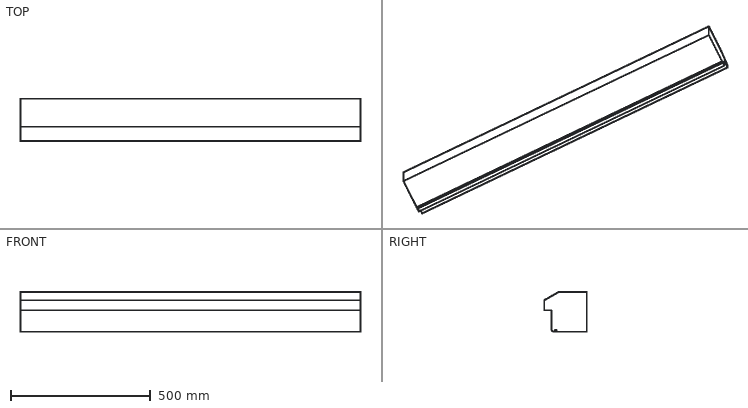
import cadquery as cq

length = 1219.0
depth = 152.0
height = 143.0

slope_run = 51.0
slope_drop = 29.0
nose_height = 37.0
nose_overhang = 25.0

edge_radius = 10.0
groove_width = 5.0
groove_depth = 7.0
groove_setback = 16.0

front = -depth / 2
back = depth / 2
bottom = -height / 2
top = height / 2

lower_front = front + nose_overhang
nose_top = top - slope_drop
nose_bottom = nose_top - nose_height
groove_front = lower_front + groove_setback - groove_width / 2
groove_back = groove_front + groove_width
groove_top = bottom + groove_depth

profile = (
    cq.Workplane("YZ")
    .moveTo(back, bottom)
    .lineTo(back, top)
    .lineTo(front + slope_run, top)
    .lineTo(front, nose_top)
    .lineTo(front, nose_bottom)
    .lineTo(lower_front, nose_bottom)
    .lineTo(lower_front, bottom + edge_radius)
    .radiusArc((lower_front + edge_radius, bottom), -edge_radius)
    .lineTo(groove_front, bottom)
    .lineTo(groove_front, groove_top)
    .lineTo(groove_back, groove_top)
    .lineTo(groove_back, bottom)
    .close()
)

result = profile.extrude(length / 2, both=True)